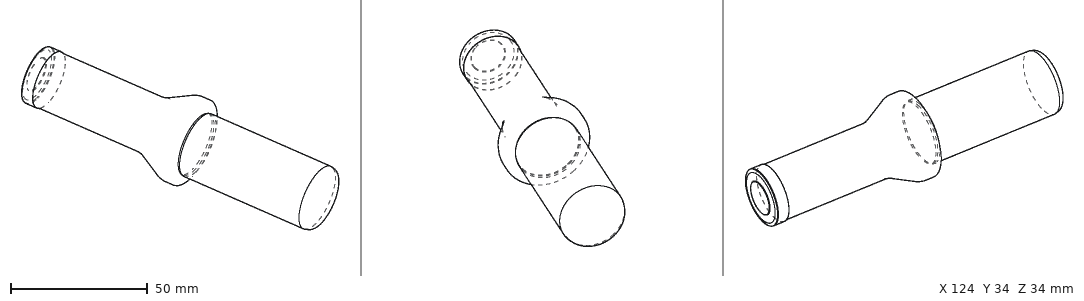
import cadquery as cq

total_length = 124.0
head_length = 5.7
relief_end = 7.3
flare_start = 51.0
flare_end = 62.7
collar_back = 68.1
neck_end = 69.2
shank_start = 69.9
shank_end = 121.5
tail_start = 122.3

head_diameter = 22.6
relief_diameter = 22.3
body_diameter = 22.0
collar_diameter = 34.0
neck_diameter = 24.5
shank_diameter = 25.0

flare_root_radius = 5.0
flare_rim_radius = 3.7
collar_edge_radius = 0.7
neck_root_radius = 0.6

MATCH_TOLERANCE = 0.01

face_rings = [
    (0.04, 1.4),
    (0.07, 3.3),
    (0.1, 4.7),
    (0.15, 6.5),
    (0.4, 6.7),
    (0.5, 8.2),
    (0.56, 9.9),
    (0.66, 10.2),
    (0.82, 11.2),
]
face_rim_setback = 1.1


def revolve_about_x(profile):
    """Revolve a closed (x, radius) profile about the X axis."""
    return profile.revolve(360, (0, 0, 0), (1, 0, 0))


def fillet_circle(body, x, diameter, radius):
    """Round the circular edge with the given axial place and diameter."""
    def is_wanted(edge):
        at_place = abs(edge.Center().x - x) < MATCH_TOLERANCE
        return at_place and abs(edge.radius() - diameter / 2) < MATCH_TOLERANCE

    return body.edges("%CIRCLE").filter(is_wanted).fillet(radius)


def make_cutting_head():
    """Disc-shaped head with a slightly pointed, ringed front face."""
    head_radius = head_diameter / 2
    outline = [
        (0, 0),
        *face_rings,
        (face_rim_setback, head_radius),
        (head_length, head_radius),
        (head_length, 0),
    ]
    return revolve_about_x(cq.Workplane("XY").polyline(outline).close())


def make_holder():
    """Slim body, flared collar and cylindrical clamping shank."""
    outline = [
        (head_length, 0),
        (head_length, relief_diameter / 2),
        (relief_end, body_diameter / 2),
        (flare_start, body_diameter / 2),
        (flare_end, collar_diameter / 2),
        (collar_back, collar_diameter / 2),
        (collar_back, neck_diameter / 2),
        (neck_end, neck_diameter / 2),
        (shank_start, shank_diameter / 2),
        (shank_end, shank_diameter / 2),
        (tail_start, neck_diameter / 2),
    ]
    tail_radius = total_length - tail_start
    end_face_radius = neck_diameter / 2 - tail_radius
    profile = (
        cq.Workplane("XY")
        .polyline(outline, includeCurrent=False)
        .radiusArc((total_length, end_face_radius), tail_radius)
        .lineTo(total_length, 0)
        .close()
    )
    body = revolve_about_x(profile)
    body = fillet_circle(body, flare_start, body_diameter, flare_root_radius)
    body = fillet_circle(body, flare_end, collar_diameter, flare_rim_radius)
    body = fillet_circle(body, collar_back, collar_diameter, collar_edge_radius)
    return fillet_circle(body, collar_back, neck_diameter, neck_root_radius)


cutting_head = make_cutting_head()
holder = make_holder()

result = cq.Compound.makeCompound([cutting_head.val(), holder.val()])